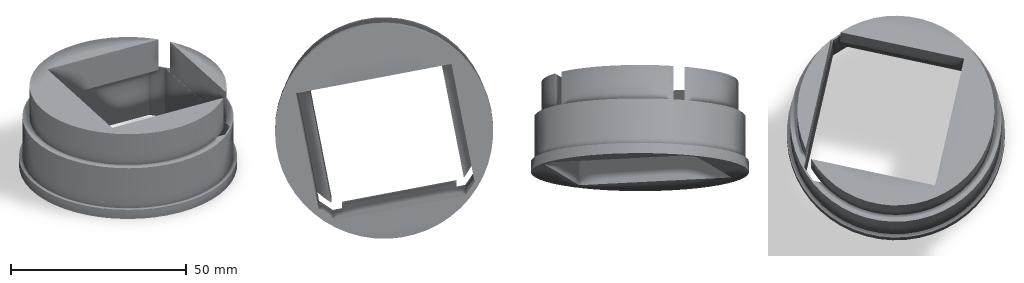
import cadquery as cq

flange_diameter = 62.0
body_diameter = 60.0
collar_diameter = 56.0
flange_height = 3.0
body_height = 13.0
collar_height = 10.0
shoulder_z = flange_height + body_height

window_half_width = 19.15
window_front_y = -15.6
window_back_y = 22.55

cavity_half_width = 22.5
cavity_back_y = cavity_half_width
corner_cut = cavity_half_width - window_half_width


def make_body():
    """Three coaxial cylinders stacked from the base flange upward."""
    return (
        cq.Workplane("XY")
        .circle(flange_diameter / 2)
        .extrude(flange_height)
        .faces(">Z").workplane()
        .circle(body_diameter / 2)
        .extrude(body_height)
        .faces(">Z").workplane()
        .circle(collar_diameter / 2)
        .extrude(collar_height)
    )


def make_window():
    """Square opening that breaks through the collar at both back corners."""
    return (
        cq.Workplane("XY", origin=(0, window_front_y, shoulder_z))
        .box(
            2 * window_half_width,
            window_back_y - window_front_y,
            collar_height,
            centered=(True, False, False),
        )
    )


def make_cavity():
    """Through cavity in the flange and body, up to the shoulder."""
    return (
        cq.Workplane("XY")
        .moveTo(-cavity_half_width, window_front_y)
        .lineTo(cavity_half_width, window_front_y)
        .lineTo(cavity_half_width, cavity_back_y - corner_cut)
        .lineTo(window_half_width, cavity_back_y)
        .lineTo(-window_half_width, cavity_back_y)
        .lineTo(-cavity_half_width, cavity_back_y - corner_cut)
        .close()
        .extrude(shoulder_z)
    )


result = make_body().cut(make_window()).cut(make_cavity())